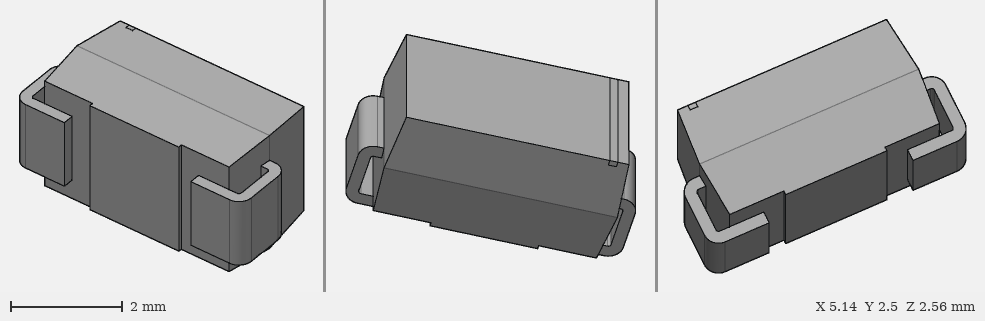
import cadquery as cq
import math


overall_length = 5.14
overall_height = 2.5

housing_length = 4.33
housing_width = 2.56
draft_angle = 5.0
standoff = 0.2
parting_height = (overall_height + standoff) / 2
half_height = overall_height - parting_height
pad_length = 2.0
step_depth = 0.075

lead_width = 1.44
lead_thickness = 0.23
foot_length = 1.15
inner_bend_radius = 0.05
outer_bend_radius = inner_bend_radius + lead_thickness

mark_length = 0.15
mark_depth = 0.1
mark_inset = 0.205
draft_inset = half_height * math.tan(math.radians(draft_angle))
mark_center_x = -housing_length / 2 + draft_inset + mark_inset + mark_length / 2


def tapered_half(direction):
    """Half of the moulding, narrowing away from the parting plane along direction (+1 or -1) in Y."""
    plane = cq.Plane(origin=(0, parting_height, 0), xDir=(1, 0, 0), normal=(0, direction, 0))
    return cq.Workplane(plane).rect(housing_length, housing_width).extrude(half_height, taper=draft_angle)


def make_moulding():
    """Both tapered halves joined, with the underside relieved on each side of the pad."""
    moulding = tapered_half(1).union(tapered_half(-1))
    relief_length = (housing_length - pad_length) / 2
    for side in (-1, 1):
        relief = cq.Workplane("XY").box(relief_length, step_depth, housing_width).translate(
            (side * (pad_length + relief_length) / 2, standoff + step_depth / 2, 0)
        )
        moulding = moulding.cut(relief)
    return moulding


def make_mark(moulding):
    """Band inlaid across the marked face, flush with the moulding all round."""
    band = cq.Workplane("XY").box(mark_length, mark_depth, housing_width).translate(
        (mark_center_x, overall_height - mark_depth / 2, 0)
    )
    return moulding.intersect(band)


def make_lead(side, moulding):
    """C-shaped strip from the end face of the housing round to the foot; side is -1 or +1 in X."""
    outside = -overall_length / 2
    inside = outside + lead_thickness
    foot_end = outside + foot_length
    arm_end = -housing_length / 2 + draft_inset
    strip = (
        cq.Workplane("XY")
        .workplane(offset=-lead_width / 2)
        .moveTo(arm_end, parting_height)
        .lineTo(outside, parting_height)
        .lineTo(outside, 0)
        .lineTo(foot_end, 0)
        .lineTo(foot_end, lead_thickness)
        .lineTo(inside, lead_thickness)
        .lineTo(inside, parting_height - lead_thickness)
        .lineTo(arm_end, parting_height - lead_thickness)
        .close()
        .extrude(lead_width)
    )
    bends = (
        (outside, 0, outer_bend_radius),
        (outside, parting_height, outer_bend_radius),
        (inside, lead_thickness, inner_bend_radius),
        (inside, parting_height - lead_thickness, inner_bend_radius),
    )
    for x, y, radius in bends:
        strip = strip.edges(cq.selectors.NearestToPointSelector((x, y, 0))).fillet(radius)
    strip = strip.cut(moulding)
    if side > 0:
        strip = strip.mirror("YZ")
    return strip


moulding = make_moulding()
mark = make_mark(moulding)
housing = moulding.cut(mark)
leads = [make_lead(side, moulding) for side in (-1, 1)]

bodies = [housing, mark, *leads]
result = cq.Compound.makeCompound([body.solids().val() for body in bodies])